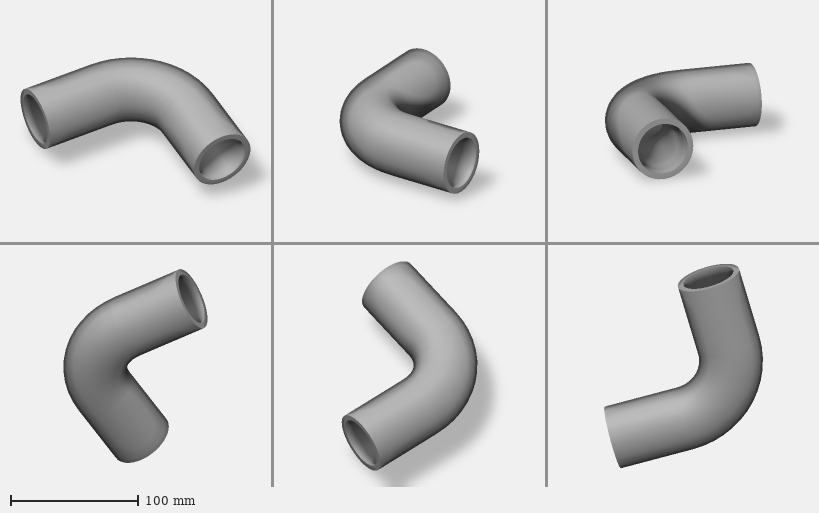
import cadquery as cq
import math

overall_length = 133.5
outer_diameter = 50.0
bore_diameter = 40.9
bend_radius = outer_diameter

leg_length = overall_length - bend_radius - outer_diameter / 2
bend_mid_offset = bend_radius * math.cos(math.radians(45))

centreline = (
    cq.Workplane("XY")
    .moveTo(-bend_radius, -leg_length)
    .lineTo(-bend_radius, 0)
    .threePointArc((-bend_mid_offset, bend_mid_offset), (0, bend_radius))
    .lineTo(leg_length, bend_radius)
)

wall_section = (
    cq.Workplane("XZ", origin=(-bend_radius, -leg_length, 0))
    .circle(outer_diameter / 2)
    .circle(bore_diameter / 2)
)

result = wall_section.sweep(centreline)